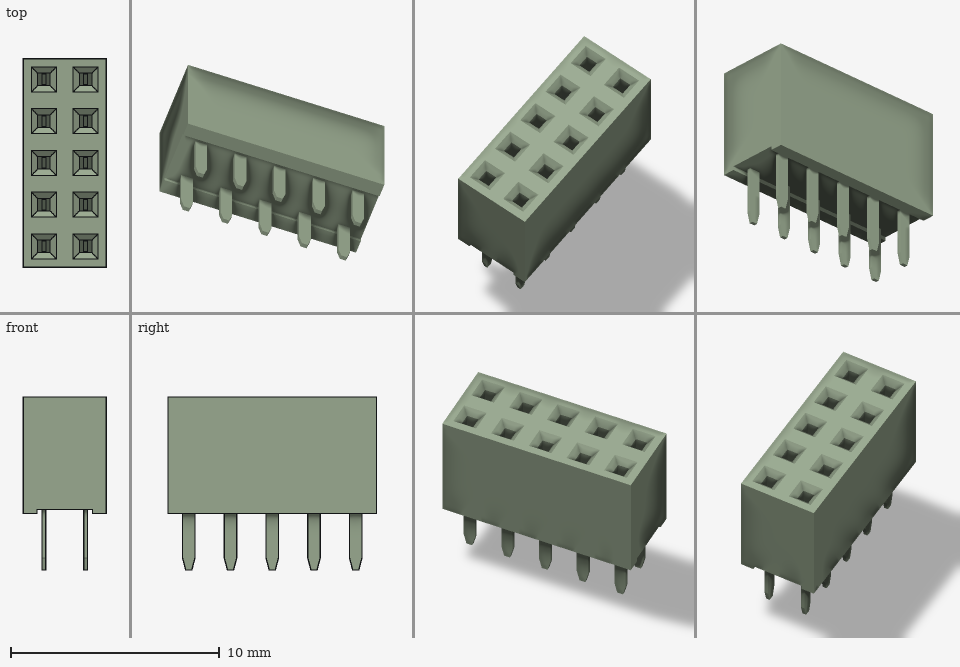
import cadquery as cq

columns = 2
rows = 5
pitch = 2.0
body_width = columns * pitch
body_length = rows * pitch
body_height = 5.6
channel_width = 2.65
channel_depth = 0.2

mouth_size = 1.2
socket_size = 0.6
funnel_depth = 0.3
socket_depth = 3.0
slot_width = 0.2
slot_floor_length = 0.5
slot_depth = (socket_size - slot_floor_length) / 2

pin_thickness = 0.2
pin_width = 0.6
pin_tip_width = 0.3
pin_taper_length = 0.57
pin_length = 2.7
pin_embed = 0.5

contact_points = [
    ((column - (columns - 1) / 2) * pitch, (row - (rows - 1) / 2) * pitch)
    for column in range(columns)
    for row in range(rows)
]


def make_body():
    """Block with its underside at Z = 0 and a standoff channel along Y."""
    body = cq.Workplane("XY").box(body_width, body_length, body_height, centered=(True, True, False))
    channel = cq.Workplane("XY").box(channel_width, body_length, channel_depth, centered=(True, True, False))
    return body.cut(channel)


def make_socket():
    """Square socket cutter: a tapered mouth, a straight shaft and a slot with sloping ends in its floor."""
    floor_z = body_height - socket_depth
    funnel = (
        cq.Workplane("XY", origin=(0, 0, body_height - funnel_depth))
        .rect(socket_size, socket_size)
        .workplane(offset=funnel_depth)
        .rect(mouth_size, mouth_size)
        .loft(ruled=True)
    )
    shaft = (
        cq.Workplane("XY", origin=(0, 0, floor_z))
        .rect(socket_size, socket_size)
        .extrude(socket_depth - funnel_depth)
    )
    slot = (
        cq.Workplane("YZ")
        .moveTo(-socket_size / 2, floor_z)
        .lineTo(-slot_floor_length / 2, floor_z - slot_depth)
        .lineTo(slot_floor_length / 2, floor_z - slot_depth)
        .lineTo(socket_size / 2, floor_z)
        .close()
        .extrude(slot_width / 2, both=True)
    )
    return funnel.union(shaft).union(slot)


def make_pin():
    """Flat pin, wide along Y, tapering to a narrow tip below the body."""
    top_z = channel_depth + pin_embed
    shoulder_z = pin_taper_length - pin_length
    outline = [
        (-pin_width / 2, top_z),
        (-pin_width / 2, shoulder_z),
        (-pin_tip_width / 2, -pin_length),
        (pin_tip_width / 2, -pin_length),
        (pin_width / 2, shoulder_z),
        (pin_width / 2, top_z),
    ]
    return cq.Workplane("YZ").polyline(outline).close().extrude(pin_thickness / 2, both=True)


result = make_body()
socket = make_socket()
pin = make_pin()
for x, y in contact_points:
    result = result.cut(socket.translate((x, y, 0)))
    result = result.union(pin.translate((x, y, 0)))